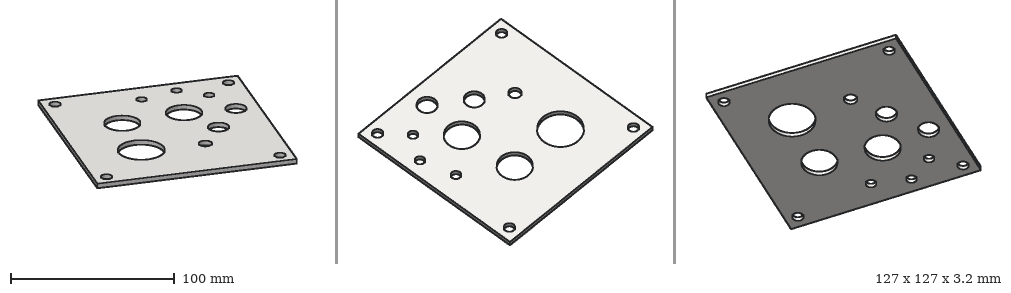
import cadquery as cq

side = 127
thickness = 3.2

mount_diameter = 7.0
mount_inset = 8.3

small_diameter = 6.5
small_centers = [(-41.3, 38.7), (-53.3, 21.6), (-46.9, -2.5)]

indicator_diameter = 8.3
indicator_centers = [(25.9, 16.4)]

medium_diameter = 13.0
medium_centers = [(-17.9, 48.9), (5.1, 31.0)]

large_diameter = 22.2
large_centers = [(-21.1, 16.8), (-17.0, -23.7)]

main_diameter = 28.7
main_centers = [(23.7, -23.7)]


def drill(panel, centers, diameter):
    """Cut through holes of one diameter from the top face."""
    top = panel.faces(">Z").workplane(origin=(0, 0, thickness))
    return top.pushPoints(centers).hole(diameter)


panel = cq.Workplane("XY").box(side, side, thickness, centered=(True, True, False))

mount_offset = side / 2 - mount_inset
mount_centers = [(x, y) for x in (-mount_offset, mount_offset) for y in (-mount_offset, mount_offset)]

for centers, diameter in [
    (mount_centers, mount_diameter),
    (small_centers, small_diameter),
    (indicator_centers, indicator_diameter),
    (medium_centers, medium_diameter),
    (large_centers, large_diameter),
    (main_centers, main_diameter),
]:
    panel = drill(panel, centers, diameter)

result = panel